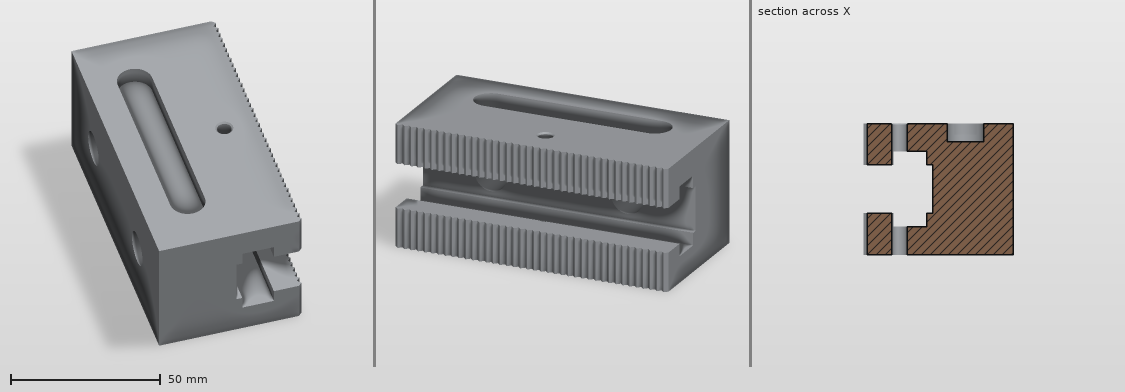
import cadquery as cq

length = 100.0
depth = 50.0
height = 44.0
front_y = -depth / 2
back_y = depth / 2

tooth_count = 40
tooth_pitch = length / tooth_count
tooth_depth = tooth_pitch / 2

mouth_height = 16.0
undercut_height = 25.0
undercut_start = 10.0
undercut_end = 21.0
relief_end = 23.0

mount_diameter = 12.0
mount_spacing = length / 2

pocket_width = 12.0
pocket_centres = 60.0
pocket_depth = 6.0
pocket_y = front_y + 16.0

screw_diameter = 4.917
screw_mouth_diameter = 6.0
screw_chamfer = (screw_mouth_diameter - screw_diameter) / 2
screw_y = back_y - 12.0


def toothed_block():
    """Extrude the plan outline, whose back edge is a row of V teeth."""
    root_y = back_y - tooth_depth
    outline = cq.Workplane("XY", origin=(0, 0, -height / 2)).moveTo(-length / 2, front_y)
    outline = outline.lineTo(-length / 2, root_y)
    for tooth in range(tooth_count):
        tooth_start = -length / 2 + tooth * tooth_pitch
        outline = outline.lineTo(tooth_start + tooth_pitch / 2, back_y)
        outline = outline.lineTo(tooth_start + tooth_pitch, root_y)
    return outline.lineTo(length / 2, front_y).close().extrude(height)


def slot_channel(start, end, channel_height):
    """Full-length channel between two distances from the tooth tips."""
    channel = cq.Workplane("XY").box(length, end - start, channel_height)
    return channel.translate((0, back_y - (start + end) / 2, 0))


def t_slot():
    mouth = slot_channel(0, relief_end, mouth_height)
    undercut = slot_channel(undercut_start, undercut_end, undercut_height)
    return mouth.union(undercut)


def mounting_holes():
    return (
        cq.Workplane("XZ", origin=(0, front_y, 0))
        .rarray(mount_spacing, 1, 2, 1)
        .circle(mount_diameter / 2)
        .extrude(-(depth - relief_end))
    )


def top_pocket():
    return (
        cq.Workplane("XY", origin=(0, pocket_y, height / 2))
        .slot2D(pocket_centres + pocket_width, pocket_width)
        .extrude(-pocket_depth)
    )


def screw_hole():
    """Through hole with a 45 degree chamfer at the top face."""
    bore = (
        cq.Workplane("XY", origin=(0, screw_y, -height / 2))
        .circle(screw_diameter / 2)
        .extrude(height)
    )
    countersink = (
        cq.Workplane("XY", origin=(0, screw_y, height / 2))
        .circle(screw_mouth_diameter / 2)
        .workplane(offset=-screw_chamfer)
        .circle(screw_diameter / 2)
        .loft()
    )
    return bore.union(countersink)


result = (
    toothed_block()
    .cut(t_slot())
    .cut(mounting_holes())
    .cut(top_pocket())
    .cut(screw_hole())
)